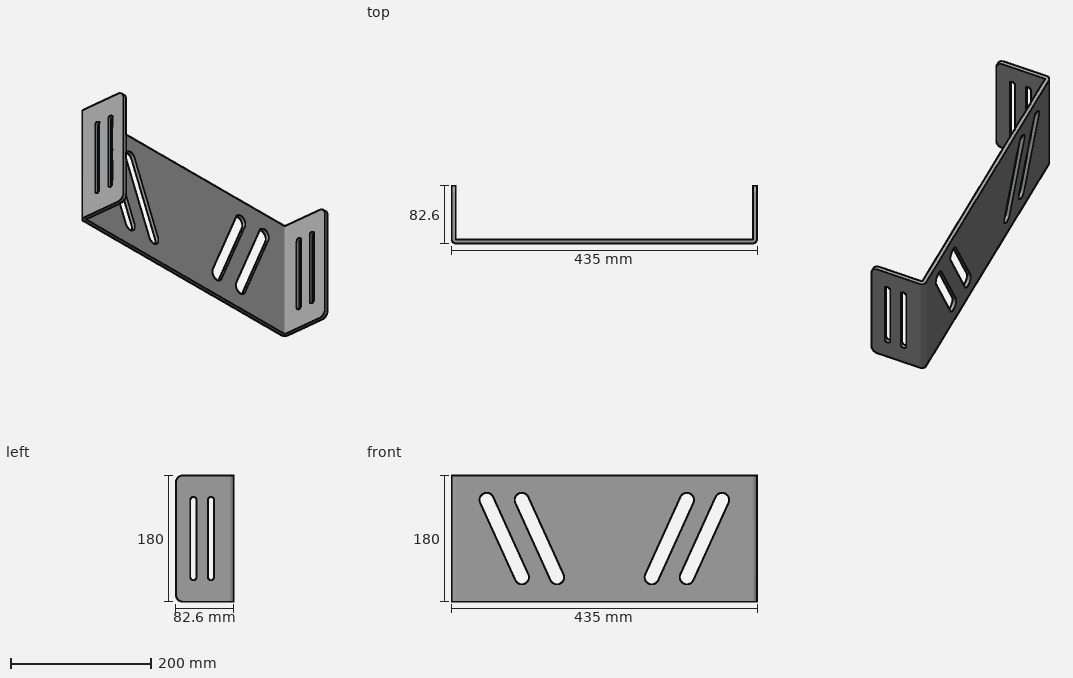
import cadquery as cq
import math

length = 435.0
depth = 82.6
height = 180.0

thickness = 6.0
bend_inner_radius = 0.6
bend_outer_radius = bend_inner_radius + thickness

flange_corner_radius = 10.0

web_slot_width = 20.0
web_slot_pitch = 50.0
web_slot_count = 2
web_slot_end_margin = 50.0
web_slot_run = 50.0
web_slot_margin = 35.0
web_slot_rise = height - 2 * web_slot_margin

flange_slot_width = 8.4
flange_slot_margin = 35.0
flange_slot_length = height - 2 * flange_slot_margin + flange_slot_width
flange_slot_pitch = 25.0
flange_slot_count = 2
flange_slot_edge_distance = 25.0


def make_bent_sheet():
    """U-shaped channel with its web on the XZ plane and flanges running toward +Y."""
    outer = (
        cq.Workplane("XY")
        .box(length, depth, height, centered=(True, False, False))
        .faces("<Y")
        .edges("|Z")
        .fillet(bend_outer_radius)
    )
    inner = (
        cq.Workplane("XY")
        .box(length - 2 * thickness, depth, height, centered=(True, False, False))
        .translate((0, thickness, 0))
        .faces("<Y")
        .edges("|Z")
        .fillet(bend_inner_radius)
    )
    return outer.cut(inner)


def round_flange_corners(body):
    """Round the top and bottom corners at the free edge of each flange."""
    return body.faces(">Y").edges("|X").fillet(flange_corner_radius)


def cut_web_slots(body):
    """Cut the slanted slots, which lean outward toward the top in both halves."""
    centre_distance = math.hypot(web_slot_run, web_slot_rise)
    lean = math.degrees(math.atan2(web_slot_rise, web_slot_run))
    for side in (-1, 1):
        for index in range(web_slot_count):
            upper_x = length / 2 - web_slot_end_margin - index * web_slot_pitch
            middle_x = side * (upper_x - web_slot_run / 2)
            slot = (
                cq.Workplane("XZ")
                .center(middle_x, height / 2)
                .slot2D(centre_distance + web_slot_width, web_slot_width, side * lean)
                .extrude(-thickness)
            )
            body = body.cut(slot)
    return body


def cut_flange_slots(body):
    """Cut the upright slots straight through both flanges."""
    for index in range(flange_slot_count):
        slot_y = depth - flange_slot_edge_distance - index * flange_slot_pitch
        slot = (
            cq.Workplane("YZ")
            .center(slot_y, height / 2)
            .slot2D(flange_slot_length, flange_slot_width, 90)
            .extrude(length / 2, both=True)
        )
        body = body.cut(slot)
    return body


bracket = make_bent_sheet()
bracket = round_flange_corners(bracket)
bracket = cut_web_slots(bracket)
result = cut_flange_slots(bracket)